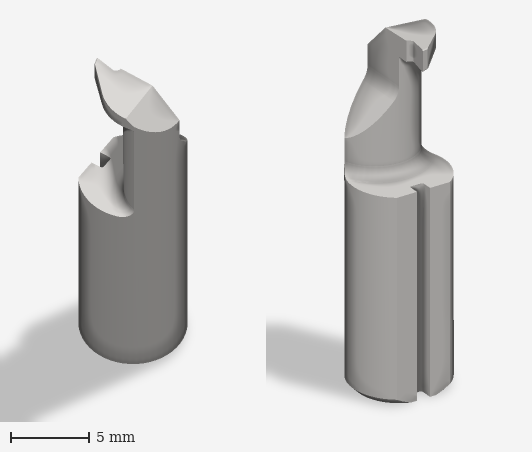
import cadquery as cq
import math

shank_radius = 3.5
flat_x = -2.85
shank_length = 15.0
end_chamfer = 0.5
slot_width = 1.0
slot_top_floor_x = -2.0
slot_floor_fillet = 0.15
slot_runout_z = 11.4
slot_runout_radius = 50.0

total_length = 25.0
form_radius = 3.0
neck_left_x = -0.15
neck_center_x = neck_left_x + form_radius
neck_root_fillet = 0.8

face_y = 0.1
runout_start_z = 21.3
runout_radius = 1.5
runout_angle = math.radians(50)

tip_x = -2.77
tip_y = 0.0
tip_width = 1.6
head_center_x = 1.15
nose_y = -0.43
nose_chamfer = 0.07
groove_x = -1.3
groove_y = -0.27
groove_bend_x = -1.1
groove_bend_y = -0.14
groove_end_x = -1.0
relief_angle = math.radians(4.5)
top_side_angle = math.radians(2)
bottom_side_angle = math.radians(1)
bevel_start_x = 1.43
bevel_angle = math.radians(45)
head_root_fillet = 0.15

reach = 10.0


def shank_bar(length):
    """Round bar with the flat, standing on z = 0."""
    bar = cq.Workplane("XY").circle(shank_radius).extrude(length)
    beyond_flat = (
        cq.Workplane("XY")
        .rect(reach, reach)
        .extrude(length)
        .translate((flat_x - reach / 2, 0, 0))
    )
    return bar.cut(beyond_flat)


def make_slot():
    """Slot cutter: straight floor that curves outward, up to the shank shoulder."""
    rise_angle = math.asin((shank_length - slot_runout_z) / slot_runout_radius)

    def rise(angle):
        return slot_runout_radius * (1 - math.cos(angle))

    floor_x = slot_top_floor_x + rise(rise_angle)
    arc_mid = (
        floor_x - rise(rise_angle / 2),
        slot_runout_z + slot_runout_radius * math.sin(rise_angle / 2),
    )
    slot = (
        cq.Workplane("XZ")
        .moveTo(-reach, 0)
        .lineTo(floor_x, 0)
        .lineTo(floor_x, slot_runout_z)
        .threePointArc(arc_mid, (slot_top_floor_x, shank_length))
        .lineTo(-reach, shank_length)
        .close()
        .extrude(slot_width / 2, both=True)
    )
    near_floor = cq.selectors.BoxSelector(
        (flat_x, -slot_width, slot_floor_fillet),
        (0, slot_width, shank_length - slot_floor_fillet),
    )
    floor_edges = slot.faces("<Y or >Y").edges(near_floor)
    return floor_edges.fillet(slot_floor_fillet)


def make_shank():
    bar = cq.Workplane("XY").circle(shank_radius).extrude(shank_length)
    bar = bar.faces("<Z").chamfer(end_chamfer)
    return bar.intersect(shank_bar(shank_length)).cut(make_slot())


def make_neck():
    """Neck column with a concave flare where it stands on the shank."""
    root_radius = form_radius + neck_root_fillet
    flare_mid = neck_root_fillet * (1 - math.sqrt(0.5))
    column = (
        cq.Workplane("XZ")
        .moveTo(0, shank_length)
        .lineTo(root_radius, shank_length)
        .threePointArc(
            (form_radius + flare_mid, shank_length + flare_mid),
            (form_radius, shank_length + neck_root_fillet),
        )
        .lineTo(form_radius, total_length)
        .lineTo(0, total_length)
        .close()
        .revolve(360, (0, 0, 0), (0, 1, 0))
        .translate((neck_center_x, 0, 0))
    )
    return column.intersect(shank_bar(total_length))


def cut_clearance(neck):
    """Flat face at the head, then an arc that runs out into a slope."""
    arc_center_y = face_y + runout_radius

    def arc_point(angle):
        return (
            arc_center_y - runout_radius * math.cos(angle),
            runout_start_z - runout_radius * math.sin(angle),
        )

    turn = math.pi / 2 - runout_angle
    arc_end = arc_point(turn)
    slope_end_y = shank_radius + neck_root_fillet
    slope_end_z = arc_end[1] - (slope_end_y - arc_end[0]) * math.tan(runout_angle)
    clearance = (
        cq.Workplane("YZ")
        .moveTo(face_y, total_length)
        .lineTo(face_y, runout_start_z)
        .threePointArc(arc_point(turn / 2), arc_end)
        .lineTo(slope_end_y, slope_end_z)
        .lineTo(slope_end_y, total_length)
        .close()
        .extrude(reach, both=True)
    )
    return neck.cut(clearance)


def relief_cutter(profile, z, angle):
    """Extrude an XZ profile along Y, tilted by the relief angle about the tip height z."""
    plane = cq.Plane(
        origin=(0, tip_y, z),
        xDir=(1, 0, 0),
        normal=(0, -math.cos(angle), -math.sin(angle)),
    )
    return cq.Workplane(plane).polyline(profile).close().extrude(reach, both=True)


def blade_outline():
    """Plan of the hooked blade: nose, straight flank, round back and hollow rake face."""
    diagonal = form_radius * math.sqrt(0.5)
    flank_end = (head_center_x - diagonal, -diagonal)
    nose_x = flank_end[0] + flank_end[1] - nose_y
    back_end = (head_center_x + diagonal, -diagonal)
    return (
        cq.Workplane("XY")
        .moveTo(tip_x, tip_y)
        .lineTo(nose_x, nose_y)
        .lineTo(*flank_end)
        .threePointArc((head_center_x, -form_radius), back_end)
        .lineTo(shank_radius, -diagonal)
        .lineTo(shank_radius, face_y)
        .lineTo(groove_end_x, face_y)
        .threePointArc((groove_bend_x, groove_bend_y), (groove_x, groove_y))
        .close()
        .extrude(total_length)
    )


def make_head():
    """Blade on a short length of neck, with the corner below its overhang filleted."""
    stub_bottom = total_length - 2 * tip_width
    below = [
        (-reach, (-reach - tip_x) * math.tan(bottom_side_angle)),
        (reach, (reach - tip_x) * math.tan(bottom_side_angle)),
        (reach, -reach),
        (-reach, -reach),
    ]
    block = (
        cq.Workplane("XY")
        .workplane(offset=stub_bottom)
        .rect(2 * reach, 2 * reach)
        .extrude(2 * tip_width)
        .cut(relief_cutter(below, total_length - tip_width, -relief_angle))
    )
    stub = (
        cq.Workplane("XY")
        .workplane(offset=stub_bottom)
        .center(neck_center_x, 0)
        .circle(form_radius)
        .extrude(2 * tip_width)
    )
    corner = cq.selectors.BoxSelector(
        (neck_left_x, -form_radius, stub_bottom + head_root_fillet),
        (neck_center_x + form_radius, form_radius, total_length - head_root_fillet),
    )
    blank = block.union(stub).edges(corner).fillet(head_root_fillet)
    return blank.intersect(blade_outline()).intersect(shank_bar(total_length))


def cut_top(body):
    """Top relief of the head with the bevel on its back corner."""
    bevel_z = -(bevel_start_x - tip_x) * math.tan(top_side_angle)
    bevel_end_z = bevel_z - (reach - bevel_start_x) * math.tan(bevel_angle)
    above = [
        (tip_x, 0),
        (bevel_start_x, bevel_z),
        (reach, bevel_end_z),
        (reach, reach),
        (tip_x, reach),
    ]
    return body.cut(relief_cutter(above, total_length, relief_angle))


def chamfer_nose(body):
    """Small chamfer along the top and bottom edges of the nose."""
    nose_back_x = tip_x - nose_y
    tip_bottom = total_length - tip_width
    margin = tip_width / 4
    for height in (tip_bottom, total_length):
        nose_edge = cq.selectors.BoxSelector(
            (tip_x, nose_y, height - margin),
            (nose_back_x, tip_y, height + margin),
        )
        body = body.edges(nose_edge).chamfer(nose_chamfer)
    return body


neck = cut_clearance(make_neck())
body = make_shank().union(neck).union(make_head())
result = chamfer_nose(cut_top(body))